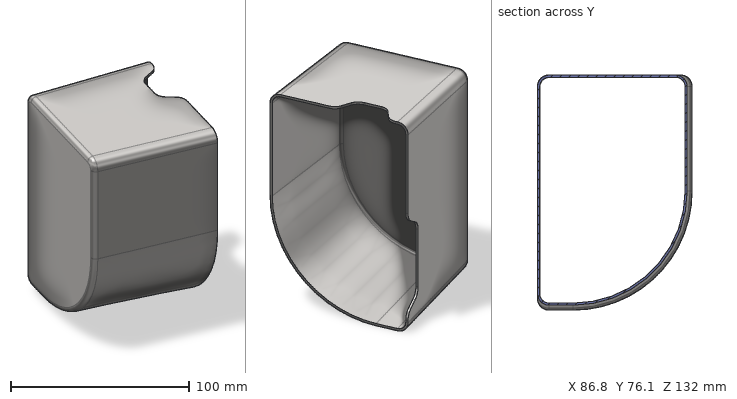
import cadquery as cq
import math

width = 86.8
depth = 76.1
height = 132.0

wall = 1.5
draft_angle = 4.0
big_radius = 66.8
corner_radius = 6.6
front_fillet = 3.2

notch_depth = 12.5
notch_flank_angle = 60.0
notch_fillet = 7.3
top_notch_center_x = 28.8
top_notch_floor = 19.0
side_notch_center_z = 41.7
side_notch_floor = 44.9

arc_center_x = width - big_radius
arc_center_z = big_radius


def quarter_round_body(inset):
    """Solid with a vertical left side, a level top, and drafted right and bottom sides."""
    radius = big_radius - inset
    right = width - inset
    top = height - inset
    margin = 2 * depth * math.tan(math.radians(draft_angle))
    diagonal = radius * math.sqrt(0.5)

    drafted = (
        cq.Workplane("XZ", origin=(0, depth, 0))
        .moveTo(-margin, inset)
        .lineTo(arc_center_x, inset)
        .threePointArc(
            (arc_center_x + diagonal, arc_center_z - diagonal),
            (right, arc_center_z),
        )
        .lineTo(right, height + margin)
        .lineTo(-margin, height + margin)
        .close()
        .extrude(depth - inset, taper=draft_angle)
    )
    trim = cq.Workplane("XY").box(right - inset, depth - inset, top, centered=False)
    body = drafted.intersect(trim.translate((inset, inset, 0)))

    top_left = cq.selectors.NearestToPointSelector((inset, depth / 2, top))
    top_right = cq.selectors.NearestToPointSelector((right, depth / 2, top))
    bottom_left = cq.selectors.NearestToPointSelector((inset, depth / 2, inset))
    for corner in (top_left, top_right, bottom_left):
        body = body.edges(corner).fillet(corner_radius - inset)
    return body.faces("<Y").edges().fillet(front_fillet - inset)


def notch_cutter(plane, floor_width, length):
    """Flared notch with rounded floor corners and rims; local y = 0 is the open rim."""
    half_floor = floor_width / 2
    flare = notch_depth / math.tan(math.radians(notch_flank_angle))
    half_rim = half_floor + flare
    outer_half = half_rim + 2 * notch_fillet
    overshoot = 2 * notch_fillet
    profile = (
        cq.Workplane(plane)
        .polyline([
            (-outer_half, overshoot),
            (-outer_half, 0),
            (-half_rim, 0),
            (-half_floor, -notch_depth),
            (half_floor, -notch_depth),
            (half_rim, 0),
            (outer_half, 0),
            (outer_half, overshoot),
        ])
        .close()
        .extrude(length)
    )
    parallel_edges = cq.selectors.ParallelDirSelector(plane.zDir)
    across = plane.xDir
    ends = (
        cq.selectors.DirectionMinMaxSelector(across, True)
        + cq.selectors.DirectionMinMaxSelector(across, False)
    )
    return profile.edges(parallel_edges - ends).fillet(notch_fillet)


cover = quarter_round_body(0).cut(quarter_round_body(wall))

cut_length = 2 * corner_radius
top_plane = cq.Plane(
    origin=(top_notch_center_x, depth, height - cut_length / 2),
    xDir=(1, 0, 0),
    normal=(0, 0, 1),
)
side_plane = cq.Plane(
    origin=(cut_length / 2, depth, side_notch_center_z),
    xDir=(0, 0, 1),
    normal=(-1, 0, 0),
)
top_notch = notch_cutter(top_plane, top_notch_floor, cut_length)
side_notch = notch_cutter(side_plane, side_notch_floor, cut_length)

result = cover.cut(top_notch).cut(side_notch)